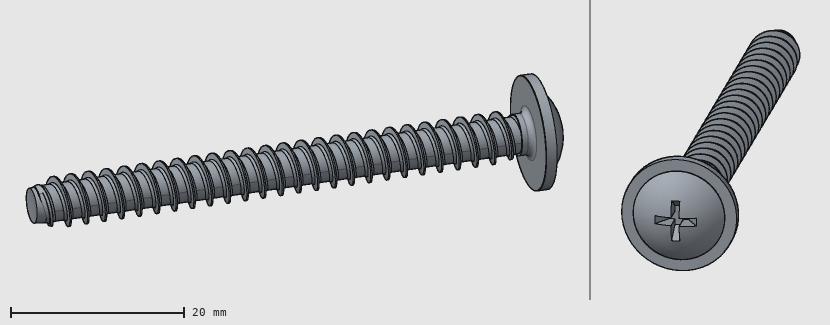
import cadquery as cq
import math


flange_radius = 13.5 / 2
flange_thickness = 1.35
flange_edge_chamfer = 0.05
dome_radius = 5.4
dome_foot_height = 0.1
dome_height = 2.4
dome_foot_level = flange_thickness + dome_foot_height
head_height = dome_foot_level + dome_height
sphere_radius = (dome_radius**2 + dome_height**2) / (2 * dome_height)

recess_top_span = 5.4
recess_floor_span = 2.3
recess_slot_width = 0.95
recess_depth = 2.55

recess_corner_radius = recess_slot_width / 2 * math.sqrt(2)
crown_level = head_height - sphere_radius + math.sqrt(sphere_radius**2 - recess_corner_radius**2)

total_length = 63.9
shank_length = total_length - crown_level
core_radius = 2.2
tip_radius = 2.05
tip_length = 1.15
tip_dish_depth = 0.1
neck_radius = 2.4
neck_length = 1.5
neck_fillet = 0.75

thread_radius = 3.0
thread_start = 0.7
thread_end = 59.55
thread_turns = 27.5
thread_pitch = (thread_end - thread_start) / thread_turns
start_runout_length = 2.8
end_runout_length = 2.55
crest_half_width = 0.095
knee_height = 0.1
knee_half_width = 0.2
root_half_width = 0.545
root_overlap = 0.05
envelope_clearance = 0.05


def make_body():
    """Head, neck, core and shallow dished tip as one revolved outline."""
    dome_mid_angle = math.asin(dome_radius / sphere_radius) / 2
    dome_mid = (
        sphere_radius * math.sin(dome_mid_angle),
        head_height - sphere_radius * (1 - math.cos(dome_mid_angle)),
    )
    dish_sphere_radius = (tip_radius**2 + tip_dish_depth**2) / (2 * tip_dish_depth)
    dish_mid_angle = math.asin(tip_radius / dish_sphere_radius) / 2
    dish_mid = (
        dish_sphere_radius * math.sin(dish_mid_angle),
        tip_dish_depth - shank_length - dish_sphere_radius * (1 - math.cos(dish_mid_angle)),
    )
    fillet_mid_offset = neck_fillet * (1 - math.sqrt(0.5))
    outline = (
        cq.Workplane("XY")
        .moveTo(0, head_height)
        .threePointArc(dome_mid, (dome_radius, dome_foot_level))
        .lineTo(dome_radius, flange_thickness)
        .lineTo(flange_radius, flange_thickness)
        .lineTo(flange_radius, flange_edge_chamfer)
        .lineTo(flange_radius - flange_edge_chamfer, 0)
        .lineTo(neck_radius + neck_fillet, 0)
        .threePointArc(
            (neck_radius + fillet_mid_offset, -fillet_mid_offset),
            (neck_radius, -neck_fillet),
        )
        .lineTo(neck_radius, -neck_length)
        .lineTo(core_radius, -neck_length)
        .lineTo(core_radius, tip_length - shank_length)
        .lineTo(tip_radius, -shank_length)
        .threePointArc(dish_mid, (0, tip_dish_depth - shank_length))
        .close()
    )
    return outline.revolve(360, (0, 0, 0), (0, 1, 0))


def make_thread():
    """Ridge with a flared root, cut to a conical run-out at both ends."""
    root_radius = core_radius - root_overlap
    flare_slope = (root_half_width - knee_half_width) / knee_height
    buried_half_width = root_half_width + flare_slope * root_overlap
    helix = cq.Wire.makeHelix(thread_pitch, thread_end - thread_start, root_radius)
    ridge = (
        cq.Workplane("XZ")
        .polyline([
            (root_radius, -buried_half_width),
            (core_radius + knee_height, -knee_half_width),
            (thread_radius, -crest_half_width),
            (thread_radius, crest_half_width),
            (core_radius + knee_height, knee_half_width),
            (root_radius, buried_half_width),
        ])
        .close()
        .sweep(cq.Workplane(helix), isFrenet=True)
        .translate((0, 0, thread_start))
    )
    envelope_radius = thread_radius + envelope_clearance
    envelope = (
        cq.Workplane("XZ")
        .polyline([
            (0, thread_start),
            (root_radius, thread_start),
            (envelope_radius, thread_start + start_runout_length),
            (envelope_radius, thread_end - end_runout_length),
            (root_radius, thread_end),
            (0, thread_end),
        ])
        .close()
        .revolve(360, (0, 0, 0), (0, 1, 0))
    )
    return ridge.intersect(envelope).rotate((0, 0, 0), (1, 0, 0), 90)


def make_recess():
    """Cross recess in the crown, its wings narrowing in span toward a flat floor."""
    top_half_span = recess_top_span / 2
    floor_half_span = recess_floor_span / 2
    floor_level = head_height - recess_depth
    wing = (
        cq.Workplane("XY")
        .polyline([
            (-top_half_span, head_height),
            (top_half_span, head_height),
            (floor_half_span, floor_level),
            (-floor_half_span, floor_level),
        ])
        .close()
        .extrude(recess_slot_width / 2, both=True)
    )
    return wing.union(wing.rotate((0, 0, 0), (0, 1, 0), 90))


head_and_shank = make_body().cut(make_recess())
result = head_and_shank.union(make_thread(), clean=False).solids()